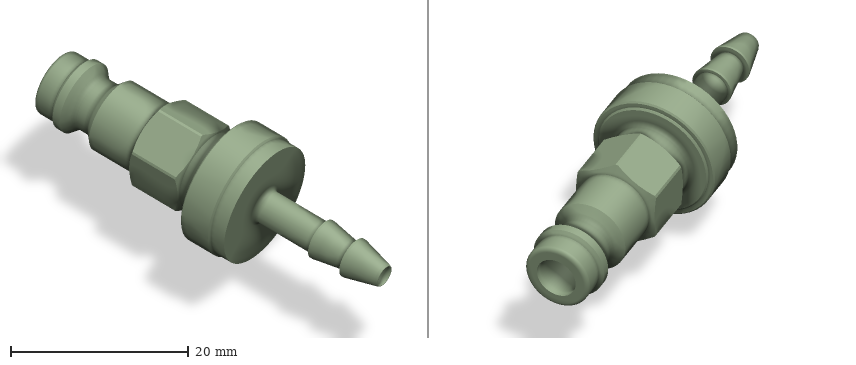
import cadquery as cq
import math

length = 47.0
through_diameter = 2.5

nose_radius = 8.1 / 2
nose_rounding = 0.5
nose_length = 2.65
plug_radius = 9.0 / 2
collar_end = 4.1
groove_radius = 6.65 / 2
groove_fillet = 1.0
shoulder_start = 8.25
plug_bore_radius = 4.95 / 2
plug_bore_depth = 16.45
drill_point_angle = 118.0

hex_start = 14.1
hex_end = 21.45
hex_across_flats = 10.0
hex_corner_radius = 5.7
hex_chamfer_angle = 30.0

neck_radius = 9.7 / 2
neck_fillet = 0.5
hub_start = 23.5
hub_radius = 14.05 / 2
hub_chamfer = 0.2

cup_start = 23.8
cup_radius = 15.5 / 2
cup_chamfer = 0.2
cup_step = 28.0
cup_rear_radius = 15.0 / 2
cup_end = 29.9
recess_end = cup_step

stem_radius = 4.05 / 2
stem_fillet = 0.5
ridge_radius = 4.95 / 2
ridge_land = 0.3
first_ridge = 37.98
second_ridge = 42.45
waist_radius = 1.75
tip_radius = 1.45
tip_chamfer = 0.35
tip_face_radius = 1.3


def revolve_about_x(outline):
    """Revolve a closed outline, drawn as (x, radius), about the X axis."""
    return outline.close().revolve(360, (0, 0, 0), (1, 0, 0))


def x_cylinder(start, end, radius):
    return cq.Workplane("YZ", origin=(start, 0, 0)).circle(radius).extrude(end - start)


def make_plug_front():
    """Rounded nose, collar and locking groove, up to the start of the hexagon."""
    middle_angle = math.radians(22.5)
    arc_length = groove_fillet * math.sin(math.radians(45))
    arc_rise = groove_fillet * (1 - math.cos(math.radians(45)))
    mid_length = groove_fillet * math.sin(middle_angle)
    mid_rise = groove_fillet * (1 - math.cos(middle_angle))
    arc_top = groove_radius + arc_rise
    slope_length = plug_radius - arc_top
    floor_start = collar_end + slope_length + arc_length
    floor_end = shoulder_start - slope_length - arc_length
    rounding_mid = nose_rounding * (1 - math.cos(math.radians(45)))
    outline = (
        cq.Workplane("XY")
        .moveTo(0, 0)
        .lineTo(0, nose_radius - nose_rounding)
        .threePointArc((rounding_mid, nose_radius - rounding_mid), (nose_rounding, nose_radius))
        .lineTo(nose_length, nose_radius)
        .lineTo(nose_length + plug_radius - nose_radius, plug_radius)
        .lineTo(collar_end, plug_radius)
        .lineTo(floor_start - arc_length, arc_top)
        .threePointArc((floor_start - mid_length, groove_radius + mid_rise), (floor_start, groove_radius))
        .lineTo(floor_end, groove_radius)
        .threePointArc((floor_end + mid_length, groove_radius + mid_rise), (floor_end + arc_length, arc_top))
        .lineTo(shoulder_start, plug_radius)
        .lineTo(hex_start, plug_radius)
        .lineTo(hex_start, 0)
    )
    return revolve_about_x(outline)


def make_hexagon():
    """Hexagon with corners along Z, trimmed by a cylinder with conical ends."""
    across_corners = hex_across_flats / math.cos(math.radians(30))
    prism = (
        cq.Workplane("YZ", origin=(hex_start, 0, 0))
        .transformed(rotate=(0, 0, 90))
        .polygon(6, across_corners)
        .extrude(hex_end - hex_start)
    )
    chamfer_slope = math.tan(math.radians(hex_chamfer_angle))
    front_chamfer = (hex_corner_radius - plug_radius) * chamfer_slope
    rear_chamfer = (hex_corner_radius - neck_radius) * chamfer_slope
    envelope = (
        cq.Workplane("XY")
        .moveTo(hex_start, 0)
        .lineTo(hex_start, plug_radius)
        .lineTo(hex_start + front_chamfer, hex_corner_radius)
        .lineTo(hex_end - rear_chamfer, hex_corner_radius)
        .lineTo(hex_end, neck_radius)
        .lineTo(hex_end, 0)
    )
    return prism.intersect(revolve_about_x(envelope))


def make_neck_and_hub():
    """Neck flaring through a fillet into the hub that fills the cup recess."""
    fillet_mid = neck_fillet * math.sin(math.radians(45))
    outline = (
        cq.Workplane("XY")
        .moveTo(hex_end, 0)
        .lineTo(hex_end, neck_radius)
        .lineTo(hub_start - neck_fillet, neck_radius)
        .threePointArc(
            (hub_start - neck_fillet + fillet_mid, neck_radius + neck_fillet - fillet_mid),
            (hub_start, neck_radius + neck_fillet),
        )
        .lineTo(hub_start, hub_radius - hub_chamfer)
        .lineTo(hub_start + hub_chamfer, hub_radius)
        .lineTo(recess_end, hub_radius)
        .lineTo(recess_end, 0)
    )
    return revolve_about_x(outline)


def make_plug_bore():
    """Wide bore ending in a drill point."""
    point_length = plug_bore_radius / math.tan(math.radians(drill_point_angle / 2))
    outline = (
        cq.Workplane("XY")
        .moveTo(0, 0)
        .lineTo(0, plug_bore_radius)
        .lineTo(plug_bore_depth, plug_bore_radius)
        .lineTo(plug_bore_depth + point_length, 0)
    )
    return revolve_about_x(outline)


through_hole = x_cylinder(0, length, through_diameter / 2)


def make_plug():
    solid = make_plug_front().union(make_hexagon()).union(make_neck_and_hub())
    return solid.cut(make_plug_bore()).cut(through_hole)


def make_cup_with_barb():
    """Cup around the hub, continuing as a stem with two barbed ridges."""
    step_height = cup_radius - cup_rear_radius
    fillet_mid = stem_fillet * (1 - math.sin(math.radians(45)))
    outline = (
        cq.Workplane("XY")
        .moveTo(cup_start, 0)
        .lineTo(cup_start, cup_radius - cup_chamfer)
        .lineTo(cup_start + cup_chamfer, cup_radius)
        .lineTo(cup_step - step_height, cup_radius)
        .lineTo(cup_step, cup_rear_radius)
        .lineTo(cup_end, cup_rear_radius)
        .lineTo(cup_end, stem_radius + stem_fillet)
        .threePointArc(
            (cup_end + fillet_mid, stem_radius + fillet_mid),
            (cup_end + stem_fillet, stem_radius),
        )
        .lineTo(first_ridge, stem_radius)
        .lineTo(first_ridge, ridge_radius)
        .lineTo(first_ridge + ridge_land, ridge_radius)
        .lineTo(second_ridge, waist_radius)
        .lineTo(second_ridge, ridge_radius)
        .lineTo(second_ridge + ridge_land, ridge_radius)
        .lineTo(length - tip_chamfer, tip_radius)
        .lineTo(length, tip_face_radius)
        .lineTo(length, 0)
    )
    recess = x_cylinder(cup_start, recess_end, hub_radius)
    return revolve_about_x(outline).cut(recess).cut(through_hole)


plug = make_plug()
cup_with_barb = make_cup_with_barb()

result = cq.Compound.makeCompound([plug.val(), cup_with_barb.val()])